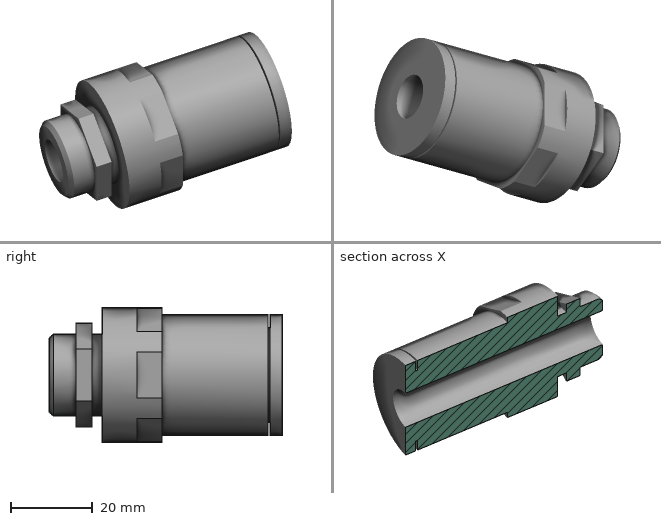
import cadquery as cq
import math

length = 57.0
end_chamfer = 1.0
nut_start = 6.55
nut_end = 10.55
collar_start = 12.95
flats_start = 21.5
body_start = 27.6
groove_start = 53.5
groove_end = 54.0

bore_diameter = 11.0
neck_diameter = 20.0
collar_diameter = 33.0
body_diameter = 29.5
groove_diameter = 23.2

nut_across_flats = 22.0
collar_across_flats = 31.0


def cylinder(diameter, start, end):
    """Solid cylinder along +Y between two axial stations."""
    plane = cq.Workplane("XZ", origin=(0, start, 0))
    return plane.circle(diameter / 2).extrude(start - end)


def hexagon(across_flats, start, end):
    """Hexagonal prism along +Y with flats facing +X and -X."""
    across_corners = across_flats / math.cos(math.pi / 6)
    plane = cq.Workplane("XZ", origin=(0, start, 0)).transformed(rotate=(0, 0, 90))
    return plane.polygon(6, across_corners).extrude(start - end)


neck = cylinder(neck_diameter, 0, collar_start).faces("<Y").chamfer(end_chamfer)
nut = hexagon(nut_across_flats, nut_start, nut_end)

collar = cylinder(collar_diameter, collar_start, flats_start)
flats = cylinder(collar_diameter, flats_start, body_start).intersect(
    hexagon(collar_across_flats, flats_start, body_start)
)

body = cylinder(body_diameter, body_start, groove_start)
groove_floor = cylinder(groove_diameter, groove_start, groove_end)
cap = cylinder(body_diameter, groove_end, length)

result = neck
for section in (nut, collar, flats, body, groove_floor, cap):
    result = result.union(section)

result = result.cut(cylinder(bore_diameter, 0, length))